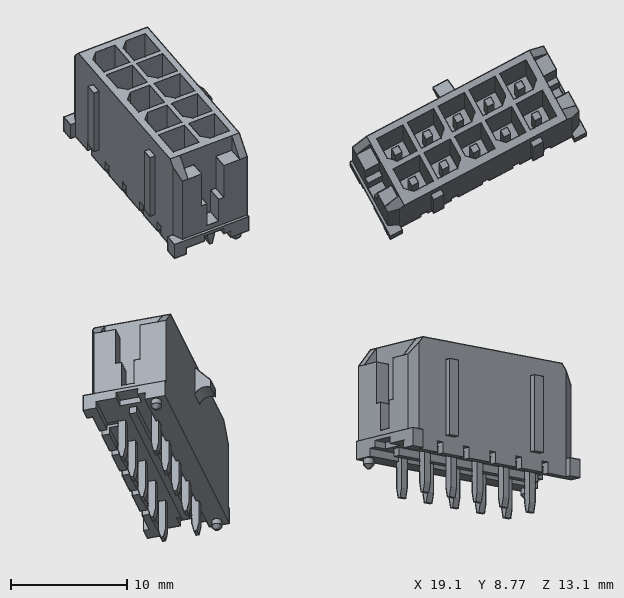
import cadquery as cq


columns = 5
rows = 2
pitch = 3.0
column_x = [(i - (columns - 1) / 2) * pitch for i in range(columns)]
row_y = [(i - (rows - 1) / 2) * pitch for i in range(rows)]

overall_depth = 8.77
overall_height = 13.09

housing_height = 9.92
housing_half_length = 9.33
front_y = -3.47
back_y = 3.38
middle_y = (front_y + back_y) / 2
corner_bevel_x = 0.93
corner_bevel_y = 0.41

end_panel_x = 7.94
shoulder_z = 8.25
shoulder_back_y = 2.63
shoulder_front_y = -2.50
wide_slot_width = 2.19
wide_slot_floor = 4.61
narrow_slot_width = 1.15
narrow_slot_floor = 2.13

flange_half_length = 9.575
flange_inner_x = housing_half_length - corner_bevel_x
flange_height = 1.6
flange_front_y = -3.98

channel_front_y = -2.80
channel_back_y = 1.58
channel_depth = 0.69
rib_width = 0.65
notch_width = 1.92
notch_top = 1.27
front_slot_height = 0.98

key_width = 1.0
key_x = 4.85
key_top = 8.30

latch_width = 1.45
latch_tip_y = flange_front_y + overall_depth
latch_ramp_top = 9.37
latch_tip_top = 7.75
latch_tip_bottom = 6.95
latch_root_bottom = 6.43
latch_arc_y = back_y + 0.62
latch_arc_z = 7.05

cavity_size = 2.56
cavity_bevel = 0.65
cavity_floor = 2.13
cavity_keys = [
    [("left",), ("right",), ("left",), ("left",), ()],
    [("left",), ("right",), ("right",), ("right",), ("right",)],
]

pin_width = 0.65
pin_top = 7.0
pin_taper_z = -2.32
pin_bottom = housing_height - overall_height
pin_tip_width = 0.27

peg_x = 9.0
peg_y = 2.42
peg_radius = 0.45
peg_tip_radius = 0.12
peg_taper_z = -0.52
peg_bottom = -0.89


def block(x0, x1, y0, y1, z0, z1):
    """Rectangular block between two opposite corners."""
    return cq.Workplane("XY").box(x1 - x0, y1 - y0, z1 - z0, centered=False).translate((x0, y0, z0))


def both_ends(shape):
    """The shape together with its mirror image at the other end of the housing."""
    return shape.union(shape.mirror("YZ"))


def make_shell():
    """Solid housing with bevelled front corners and sloped upper ends."""
    plan = [
        (-housing_half_length, back_y),
        (-housing_half_length, front_y + corner_bevel_y),
        (-flange_inner_x, front_y),
        (flange_inner_x, front_y),
        (housing_half_length, front_y + corner_bevel_y),
        (housing_half_length, back_y),
    ]
    elevation = [
        (-housing_half_length, 0),
        (-housing_half_length, shoulder_z),
        (-end_panel_x, housing_height),
        (end_panel_x, housing_height),
        (housing_half_length, shoulder_z),
        (housing_half_length, 0),
    ]
    prism = cq.Workplane("XY").polyline(plan).close().extrude(housing_height)
    profile = cq.Workplane("XZ", origin=(0, back_y, 0)).polyline(elevation).close()
    return prism.intersect(profile.extrude(back_y - front_y))


def make_end_recess():
    """Material removed from the left end wall: shoulder gap and a two-step slot."""
    outer, inner = -housing_half_length, -end_panel_x
    recess = block(outer, inner, shoulder_front_y, shoulder_back_y, shoulder_z, housing_height)
    for width, floor in ((wide_slot_width, wide_slot_floor), (narrow_slot_width, narrow_slot_floor)):
        slot = block(outer, inner, middle_y - width / 2, middle_y + width / 2, floor, housing_height)
        recess = recess.union(slot)
    return recess


def make_flange():
    """Foot flange across the left end."""
    return block(-flange_half_length, -flange_inner_x, flange_front_y, back_y, 0, flange_height)


def make_flange_notch():
    """Notch in the lower edge of the left flange."""
    half = notch_width / 2
    return block(-flange_half_length, -flange_inner_x, middle_y - half, middle_y + half, 0, notch_top)


def make_channel():
    """Channel along the underside, interrupted by a middle rib that stops short of the flanges."""
    channel = block(
        -flange_half_length, flange_half_length, channel_front_y, channel_back_y, 0, channel_depth
    )
    rib = block(-end_panel_x, end_panel_x, -rib_width / 2, rib_width / 2, 0, channel_depth)
    return channel.cut(rib)


def make_front_slot(x):
    """Slot in the lower front wall, running back to the front pin row."""
    return block(x - pin_width / 2, x + pin_width / 2, front_y, row_y[0], 0, front_slot_height)


def make_key_rib():
    """Upright rib on the left part of the front face."""
    half = key_width / 2
    return block(-key_x - half, -key_x + half, flange_front_y, front_y, flange_height, key_top)


def make_latch():
    """Ramp with a hollowed underside."""
    return (
        cq.Workplane("YZ", origin=(-latch_width / 2, 0, 0))
        .moveTo(back_y, latch_ramp_top)
        .lineTo(latch_tip_y, latch_tip_top)
        .lineTo(latch_tip_y, latch_tip_bottom)
        .threePointArc((latch_arc_y, latch_arc_z), (back_y, latch_root_bottom))
        .close()
        .extrude(latch_width)
    )


def make_cavity(x, y, keys):
    """Square contact cavity with its keyed front corners bevelled."""
    half = cavity_size / 2
    cavity = block(x - half, x + half, y - half, y + half, cavity_floor, housing_height)
    corner_selectors = {"left": "<X", "right": ">X"}
    for side in keys:
        cavity = cavity.faces(corner_selectors[side]).edges("|Z").edges("<Y").chamfer(cavity_bevel)
    return cavity


def make_pin(x, y):
    """Square pin whose tail narrows in Y only."""
    half = pin_width / 2
    tip = pin_tip_width / 2
    outline = [
        (y - half, pin_top),
        (y - half, pin_taper_z),
        (y - tip, pin_bottom),
        (y + tip, pin_bottom),
        (y + half, pin_taper_z),
        (y + half, pin_top),
    ]
    return cq.Workplane("YZ", origin=(x - half, 0, 0)).polyline(outline).close().extrude(pin_width)


def make_peg():
    """Conically tipped peg under the left flange."""
    outline = [
        (0, 0),
        (peg_radius, 0),
        (peg_radius, peg_taper_z),
        (peg_tip_radius, peg_bottom),
        (0, peg_bottom),
    ]
    peg = cq.Workplane("XZ").polyline(outline).close().revolve(360, (0, 0, 0), (0, 1, 0))
    return peg.translate((-peg_x, peg_y, 0))


housing = make_shell().cut(both_ends(make_end_recess()))
housing = housing.union(both_ends(make_flange()))
housing = housing.cut(make_channel()).cut(both_ends(make_flange_notch()))
housing = housing.union(both_ends(make_key_rib())).union(make_latch()).union(both_ends(make_peg()))

for x in column_x:
    housing = housing.cut(make_front_slot(x))
for y, keys_in_row in zip(row_y, cavity_keys):
    for x, keys in zip(column_x, keys_in_row):
        housing = housing.cut(make_cavity(x, y, keys)).union(make_pin(x, y))

result = housing